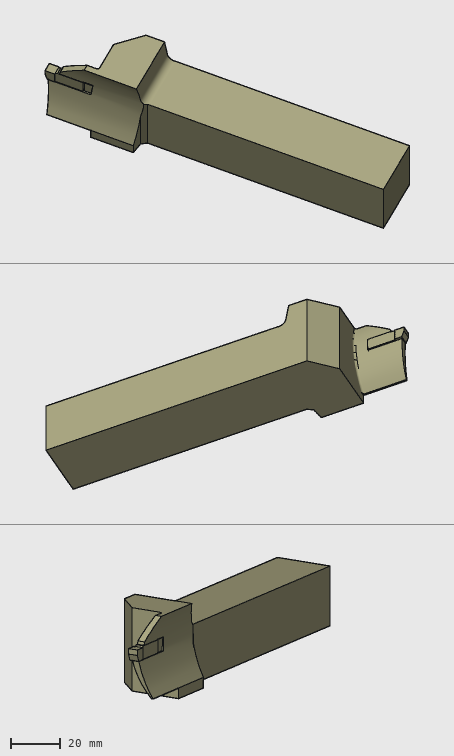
import cadquery as cq

length = 150.0
depth = 32.0
height = 35.0
shank_size = 25.0
margin = 7.5

head_front_x = 22.8
corner_chamfer = 9.9
shank_front_y = depth - shank_size
side_base_x = 41.8
side_shoulder_x = 42.6
side_shoulder_y = 5.2
shank_start_x = 45.0

step_top_x = 41.0
step_arc_x = 42.3
step_arc_z = 27.3
step_end_x = 46.0
step_mid_x = 43.4
step_mid_z = 25.6

blade_bottom_z = 4.4
blade_low_x = 3.3
blade_slant_x = 1.4
blade_nose_x = 6.2
blade_shoulder_x = 6.5
blade_shoulder_z = 26.7
blade_top_x = 17.7
front_radius = 40.8
front_axis_z = 25.8
front_peak_y = 6.0
back_radius = 31.5
back_axis_z = 25.8
back_peak_y = 9.2
root_fillet = 0.9

insert_front_y = 5.4
insert_back_y = 9.6
insert_top_z = 24.9
seat_bottom_z = 19.8
tip_land_z = 22.6
tip_relief = 1.0
tip_length = 4.4
shank_inset = 0.5
insert_length = 16.6
seat_top_z = 25.4
seat_ramp_end_x = 5.4
end_gap = 0.5
end_gap_floor_y = 7.5
relief_top_x = 21.0
relief_bottom_x = 20.2
relief_floor_y = 6.3


def x_cylinder(radius, y, z, x_start, x_end):
    """Cylinder whose axis is parallel to X."""
    disc = cq.Workplane("YZ", origin=(x_start, 0, 0)).center(y, z).circle(radius)
    return disc.extrude(x_end - x_start)


def y_prism(points, y_start, y_end):
    """Prism with an XZ outline, spanning the given Y range."""
    return cq.Workplane("XZ", origin=(0, y_end, 0)).polyline(points).close().extrude(y_end - y_start)


def make_blank():
    """Head and shank plan, extruded to the full height."""
    plan = [
        (0, 0),
        (side_base_x, 0),
        (side_shoulder_x, side_shoulder_y),
        (shank_start_x, shank_front_y),
        (length, shank_front_y),
        (length, depth),
        (head_front_x + corner_chamfer, depth),
        (head_front_x, depth - corner_chamfer),
        (0, depth - corner_chamfer),
    ]
    return cq.Workplane("XY").polyline(plan).close().extrude(height)


def shank_step_cutter():
    """Space above the shank, with a sloped and rounded wall on the head side."""
    return (
        cq.Workplane("XZ", origin=(0, depth + margin, 0))
        .moveTo(step_top_x, height)
        .lineTo(step_arc_x, step_arc_z)
        .threePointArc((step_mid_x, step_mid_z), (step_end_x, shank_size))
        .lineTo(length + margin, shank_size)
        .lineTo(length + margin, height)
        .close()
        .extrude(depth + 2 * margin)
    )


def blade_back_cutter():
    """Space behind the blade, with a rounded edge that leaves the root fillet."""
    space = cq.Workplane("XY").box(
        head_front_x + margin, depth + 2 * margin, height + 2 * margin, centered=False
    ).translate((-margin, 0, -margin))
    disc = x_cylinder(
        back_radius, back_peak_y - back_radius, back_axis_z, -2 * margin, head_front_x + margin
    )
    return space.cut(disc).faces(">X").edges("%CIRCLE").fillet(root_fillet)


def blade_outline_cutter():
    """Everything ahead of the head that lies outside the blade outline."""
    blade = [
        (blade_low_x, blade_bottom_z),
        (blade_slant_x, seat_bottom_z),
        (blade_nose_x, seat_top_z),
        (blade_shoulder_x, blade_shoulder_z),
        (blade_top_x, height),
        (head_front_x, height),
        (head_front_x, blade_bottom_z),
    ]
    space = cq.Workplane("XY").box(head_front_x + margin, depth, height, centered=False)
    return space.translate((-margin, 0, 0)).cut(y_prism(blade, -margin, depth + margin))


def insert_body():
    """Insert with a wide cutting tip and a thinner clamped shank."""
    tip = y_prism(
        [
            (0, insert_top_z),
            (0, tip_land_z),
            (tip_relief, seat_bottom_z),
            (tip_length, seat_bottom_z),
            (tip_length, insert_top_z),
        ],
        insert_front_y,
        insert_back_y,
    )
    shank = y_prism(
        [
            (tip_length, seat_bottom_z),
            (insert_length, seat_bottom_z),
            (insert_length, seat_top_z),
            (seat_ramp_end_x, seat_top_z),
            (tip_length, insert_top_z),
        ],
        insert_front_y + shank_inset,
        insert_back_y - shank_inset,
    )
    return tip.union(shank)


def seat_cutter():
    """Slot through the blade for the insert."""
    outline = [
        (-margin, seat_bottom_z),
        (insert_length, seat_bottom_z),
        (insert_length, seat_top_z),
        (-margin, seat_top_z),
    ]
    return y_prism(outline, -margin, depth)


def relief_cutter():
    """Shallow pocket with a slanted end behind the insert, and the deeper clearance gap."""
    outline = [
        (insert_length, seat_bottom_z),
        (relief_bottom_x, seat_bottom_z),
        (relief_top_x, seat_top_z),
        (insert_length, seat_top_z),
    ]
    gap = [
        (insert_length, seat_bottom_z),
        (insert_length + end_gap, seat_bottom_z),
        (insert_length + end_gap, seat_top_z),
        (insert_length, seat_top_z),
    ]
    pocket = y_prism(outline, -margin, relief_floor_y)
    return pocket.union(y_prism(gap, -margin, end_gap_floor_y))


def make_holder():
    """Shank, head and curved blade in one piece, with the insert seat cut out."""
    front_hollow = x_cylinder(
        front_radius, front_peak_y - front_radius, front_axis_z, -margin, shank_start_x + margin
    )
    return (
        make_blank()
        .cut(shank_step_cutter())
        .cut(blade_back_cutter())
        .cut(blade_outline_cutter())
        .cut(front_hollow)
        .cut(seat_cutter())
        .cut(relief_cutter())
    )


holder = make_holder()
insert = insert_body()
result = cq.Compound.makeCompound([holder.val(), insert.val()])